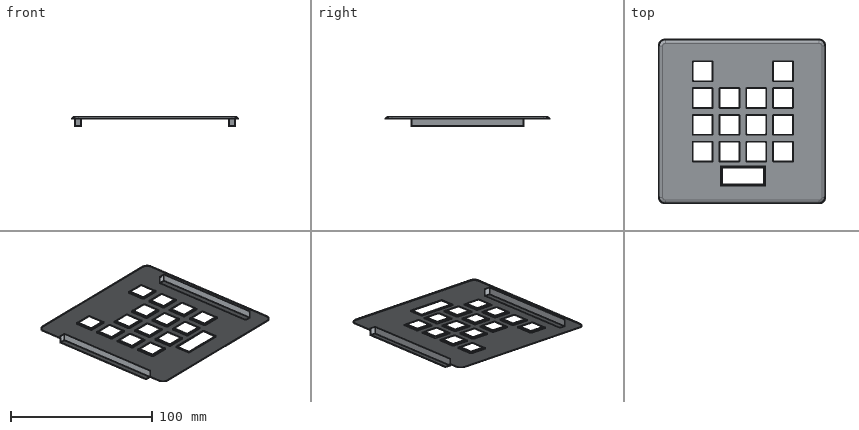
import cadquery as cq
import math

plate_length = 117.9
plate_width = 116.1
total_height = 6.7
rail_height = 5.2
plate_thickness = total_height - rail_height
corner_radius = 4.5
rim_radius = 3.0

rail_width = 4.4
rail_length = 79.5
rail_center_x = 54.5

key_size = 13.9
key_corner_radius = 0.4
key_pitch = 19.0
key_columns = 4
key_rows = 4
pattern_center_x = 0.6
keypad_center_y = 7.1

window_length = 31.5
window_width = 13.7
window_chamfer = 1.0
window_center_y = -38.7


def rounded_plate():
    """Plate cut from the top of a block whose upper rim is rounded deeper than the plate is thick."""
    arc_center_depth = rim_radius - plate_thickness
    rim_overhang = rim_radius - math.sqrt(rim_radius**2 - arc_center_depth**2)
    block_height = 2 * rim_radius
    block = (
        cq.Workplane("XY")
        .box(
            plate_length + 2 * rim_overhang,
            plate_width + 2 * rim_overhang,
            block_height,
            centered=(True, True, False),
        )
        .edges("|Z")
        .fillet(corner_radius + rim_overhang)
        .faces(">Z")
        .edges()
        .fillet(rim_radius)
        .translate((0, 0, plate_thickness - block_height))
    )
    slab = cq.Workplane("XY").box(
        plate_length, plate_width, plate_thickness, centered=(True, True, False)
    )
    return block.intersect(slab)


def rails():
    """Two straight rails hanging from the underside of the plate."""
    return (
        cq.Workplane("XY")
        .pushPoints([(-rail_center_x, 0), (rail_center_x, 0)])
        .rect(rail_width, rail_length)
        .extrude(-rail_height)
    )


def key_centers():
    """Grid positions; the top row has keys only in its two outer columns."""
    centers = []
    for row in range(key_rows):
        for column in range(key_columns):
            is_top_row = row == key_rows - 1
            is_outer_column = column in (0, key_columns - 1)
            if is_top_row and not is_outer_column:
                continue
            x = pattern_center_x + (column - (key_columns - 1) / 2) * key_pitch
            y = keypad_center_y + (row - (key_rows - 1) / 2) * key_pitch
            centers.append((x, y))
    return centers


def key_openings():
    return (
        cq.Workplane("XY")
        .pushPoints(key_centers())
        .rect(key_size, key_size)
        .extrude(plate_thickness)
        .edges("|Z")
        .fillet(key_corner_radius)
    )


def display_window():
    opening_length = window_length - 2 * window_chamfer
    opening_width = window_width - 2 * window_chamfer
    opening = (
        cq.Workplane("XY")
        .center(pattern_center_x, window_center_y)
        .rect(opening_length, opening_width)
        .extrude(plate_thickness)
    )
    bevel = (
        cq.Workplane("XY")
        .workplane(offset=plate_thickness - window_chamfer)
        .center(pattern_center_x, window_center_y)
        .rect(opening_length, opening_width)
        .workplane(offset=window_chamfer)
        .rect(window_length, window_width)
        .loft(ruled=True)
    )
    return opening.union(bevel)


result = rounded_plate().union(rails()).cut(key_openings()).cut(display_window())